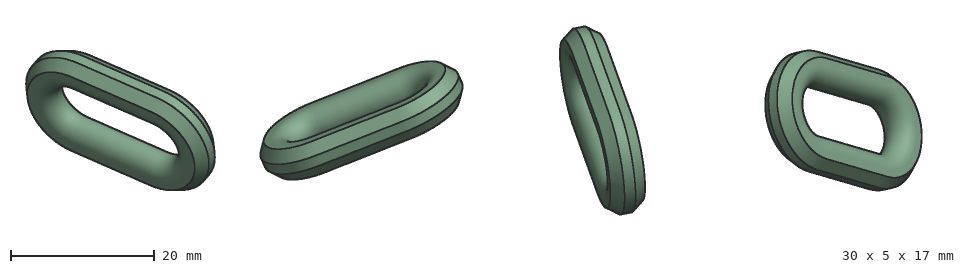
import cadquery as cq

length = 30.0
height = 17.0
thickness = 5.0

wall = thickness
rim_width = 1.6
bevel_depth = 1.25

end_radius = height / 2
straight_length = length - height
inner_radius = end_radius - wall
round_radius = thickness / 2


def link_section(plane):
    """Closed profile of the link, with x measured outward from the end centre."""
    face = thickness / 2
    rim = rim_width / 2
    return (
        cq.Workplane(plane)
        .moveTo(inner_radius + round_radius, -face)
        .lineTo(end_radius - bevel_depth, -face)
        .lineTo(end_radius, -rim)
        .lineTo(end_radius, rim)
        .lineTo(end_radius - bevel_depth, face)
        .lineTo(inner_radius + round_radius, face)
        .threePointArc((inner_radius, 0), (inner_radius + round_radius, -face))
        .close()
    )


def straight_bar(side):
    """Bar between the ends; side is +1 for the upper bar and -1 for the lower."""
    plane = cq.Plane(origin=(0, 0, 0), xDir=(0, 0, side), normal=(1, 0, 0))
    return link_section(plane).extrude(straight_length / 2, both=True)


def round_end(side):
    """Half-turn end; side is +1 for the +X end and -1 for the -X end."""
    plane = cq.Plane(
        origin=(side * straight_length / 2, 0, 0), xDir=(0, 0, side), normal=(side, 0, 0)
    )
    return link_section(plane).revolve(180, (0, 0), (0, -1))


result = straight_bar(1)
for piece in (straight_bar(-1), round_end(1), round_end(-1)):
    result = result.union(piece)